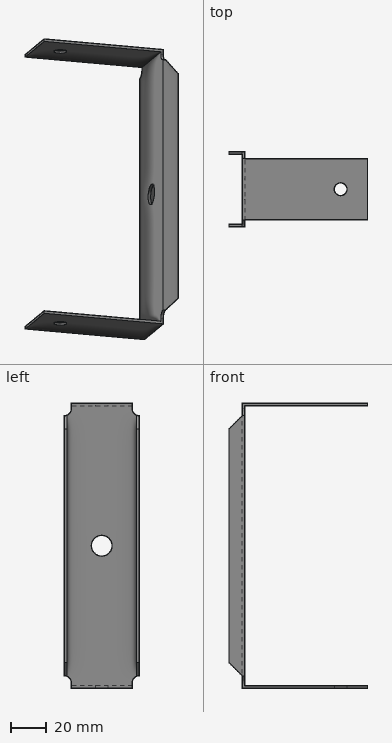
import cadquery as cq

length = 77.5
width = 42.0
height = 159.0
sheet = 1.5

web_front = 7.5
arm_width = 34.0
flange_end_gap = 7.0
flange_chamfer = web_front

arm_hole_diameter = 7.0
arm_hole_inset = 15.1
web_hole_diameter = 11.5

web_back = web_front + sheet
arm_length = length - web_front
flange_half_height = height / 2 - flange_end_gap
relief_radius = (width - arm_width) / 2
relief_center_z = flange_half_height + relief_radius


def make_arm(side):
    """Flat arm at the top (side=1) or bottom (side=-1) of the web."""
    return cq.Workplane("XY").box(arm_length, arm_width, sheet).translate(
        (web_front + arm_length / 2, 0, side * (height - sheet) / 2)
    )


def make_flange(side):
    """Side flange with its two free corners cut at 45 degrees."""
    lip_half_height = flange_half_height - flange_chamfer
    return (
        cq.Workplane("XZ", origin=(0, side * (width - sheet) / 2, 0))
        .polyline([
            (0, -lip_half_height),
            (web_front, -flange_half_height),
            (web_back, -flange_half_height),
            (web_back, flange_half_height),
            (web_front, flange_half_height),
            (0, lip_half_height),
        ])
        .close()
        .extrude(sheet / 2, both=True)
    )


def make_corner_relief(side_y, side_z):
    """Round-bottomed notch between an arm and a flange."""
    end_height = height / 2 - relief_center_z
    round_part = (
        cq.Workplane("YZ", origin=(web_front, side_y * width / 2, side_z * relief_center_z))
        .circle(relief_radius)
        .extrude(sheet)
    )
    straight_part = cq.Workplane("XY").box(sheet, relief_radius, end_height).translate((
        web_front + sheet / 2,
        side_y * (width - relief_radius) / 2,
        side_z * (relief_center_z + end_height / 2),
    ))
    return round_part.union(straight_part)


web = cq.Workplane("XY").box(sheet, width, height).translate((web_front + sheet / 2, 0, 0))
for side_y in (-1, 1):
    for side_z in (-1, 1):
        web = web.cut(make_corner_relief(side_y, side_z))

bracket = web
for side in (-1, 1):
    bracket = bracket.union(make_arm(side)).union(make_flange(side))

arm_holes = (
    cq.Workplane("XY")
    .center(length - arm_hole_inset, 0)
    .circle(arm_hole_diameter / 2)
    .extrude(height / 2, both=True)
)
web_hole = cq.Workplane("YZ").circle(web_hole_diameter / 2).extrude(length)

result = bracket.cut(arm_holes).cut(web_hole)